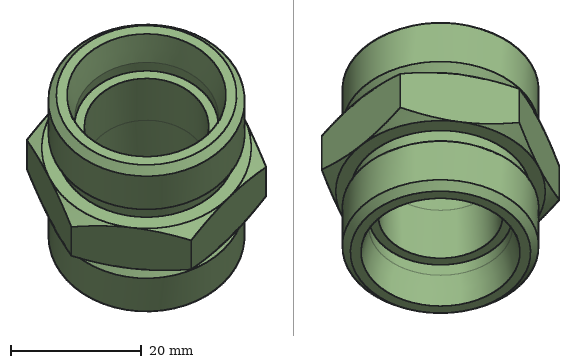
import cadquery as cq
import math

total_height = 35.0
corner_diameter = 36.95
hex_height = 9.83
hex_sides = 6
hex_half_sector = 180 / hex_sides

thread_diameter = 30.0
neck_diameter = 27.53
thread_chamfer_height = 1.22
neck_height = 2.15

bore_diameter = 19.0
socket_diameter = 22.0
mouth_diameter = 24.28
socket_depth = 7.5
cone_half_angle = 12.0

hex_chamfer_angle = 30.0

half_height = total_height / 2
half_hex = hex_height / 2
corner_radius = corner_diameter / 2
flat_radius = corner_radius * math.cos(math.radians(hex_half_sector))


def make_hexagon():
    """Hexagonal collar with corners on Y and conically chamfered ends."""
    prism = (
        cq.Workplane("XY", origin=(0, 0, -half_hex))
        .polygon(hex_sides, corner_diameter)
        .extrude(hex_height)
        .rotate((0, 0, 0), (0, 0, 1), hex_half_sector)
    )
    cone_drop = (corner_radius - flat_radius) * math.tan(math.radians(hex_chamfer_angle))
    cone_envelope = (
        cq.Workplane("XZ")
        .polyline([
            (0, -half_hex),
            (flat_radius, -half_hex),
            (corner_radius, -half_hex + cone_drop),
            (corner_radius, half_hex - cone_drop),
            (flat_radius, half_hex),
            (0, half_hex),
        ])
        .close()
        .revolve(360, (0, 0, 0), (0, 1, 0))
    )
    return prism.intersect(cone_envelope)


def make_upper_end():
    """Neck and chamfered threaded end, smooth at its major diameter."""
    neck_radius = neck_diameter / 2
    thread_radius = thread_diameter / 2
    thread_start = half_hex + neck_height
    return (
        cq.Workplane("XZ")
        .polyline([
            (0, 0),
            (neck_radius, 0),
            (neck_radius, thread_start),
            (thread_radius, thread_start + thread_chamfer_height),
            (thread_radius, half_height - thread_chamfer_height),
            (neck_radius, half_height),
            (0, half_height),
        ])
        .close()
        .revolve(360, (0, 0, 0), (0, 1, 0))
    )


def make_upper_cavity():
    """Bore opening into a stepped tube socket with a conical mouth."""
    bore_radius = bore_diameter / 2
    socket_radius = socket_diameter / 2
    mouth_radius = mouth_diameter / 2
    cone_depth = (mouth_radius - socket_radius) / math.tan(math.radians(cone_half_angle))
    return (
        cq.Workplane("XZ")
        .polyline([
            (0, 0),
            (bore_radius, 0),
            (bore_radius, half_height - socket_depth),
            (socket_radius, half_height - socket_depth),
            (socket_radius, half_height - cone_depth),
            (mouth_radius, half_height),
            (0, half_height),
        ])
        .close()
        .revolve(360, (0, 0, 0), (0, 1, 0))
    )


def both_ends(upper):
    """Join an upper half with its mirror image below the middle plane."""
    return upper.union(upper.mirror("XY"))


result = make_hexagon().union(both_ends(make_upper_end())).cut(both_ends(make_upper_cavity()))